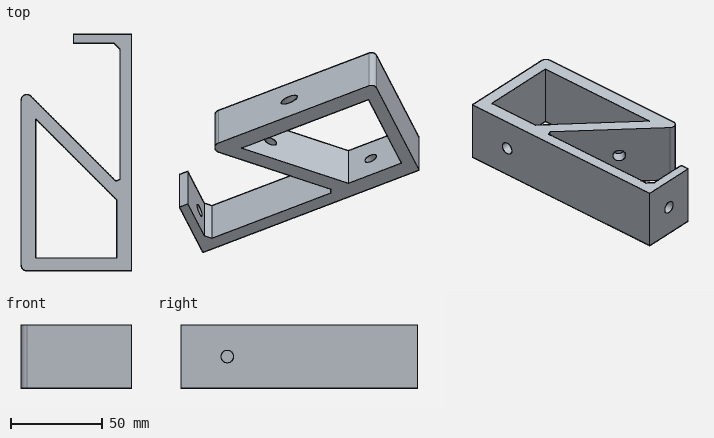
import cadquery as cq
import math

width = 60.45
length = 129.51
height = 34.8

hook_thickness = 5.08
spine_thickness = 6.35
frame_thickness = 8.1
base_thickness = 7.1
brace_thickness = 7.0

hook_length = 31.75
brace_peak_y = 101.05
edge_break = 3.175
hole_diameter = 6.86
wall_hole_y = 25.4
brace_hole_y = 50.93

spine_x = width - spine_thickness
hook_y = length - hook_thickness
valley_y = brace_peak_y - spine_x
hook_hole_x = width - hook_length / 2
mid_height = height / 2
cavity_right_x = width - frame_thickness
brace_inner_peak_y = brace_peak_y - brace_thickness * math.sqrt(2)


def vertical_edge(body, x, y):
    """Select the full-height edge of the body that stands at (x, y)."""
    return body.edges(cq.selectors.NearestToPointSelector((x, y, mid_height)))


def make_body():
    """Extrude the hooked outline and break its corners."""
    body = (
        cq.Workplane("XY")
        .moveTo(0, 0)
        .lineTo(width, 0)
        .lineTo(width, length)
        .lineTo(width - hook_length, length)
        .lineTo(width - hook_length, hook_y)
        .lineTo(spine_x, hook_y)
        .lineTo(spine_x, valley_y)
        .lineTo(0, brace_peak_y)
        .close()
        .extrude(height)
    )
    for x, y in [(spine_x, hook_y), (spine_x, valley_y)]:
        body = vertical_edge(body, x, y).chamfer(edge_break)
    for x, y in [(0, 0), (0, brace_peak_y)]:
        body = vertical_edge(body, x, y).fillet(edge_break)
    return body


def make_cavity():
    """Opening bounded by the base, both side walls and the brace."""
    return (
        cq.Workplane("XY")
        .moveTo(frame_thickness, base_thickness)
        .lineTo(cavity_right_x, base_thickness)
        .lineTo(cavity_right_x, brace_inner_peak_y - cavity_right_x)
        .lineTo(frame_thickness, brace_inner_peak_y - frame_thickness)
        .close()
        .extrude(height)
    )


def make_drill(start_x, start_y, direction, depth):
    """Round cutter at mid height, running from a start point along a direction."""
    start = cq.Vector(start_x, start_y, mid_height)
    return cq.Workplane(cq.Solid.makeCylinder(hole_diameter / 2, depth, start, cq.Vector(*direction)))


def make_hook_hole():
    """Hole through the hook along Y."""
    return make_drill(hook_hole_x, hook_y, (0, 1, 0), hook_thickness)


def make_wall_hole():
    """Hole through the right wall along X, opening into the cavity."""
    return make_drill(cavity_right_x, wall_hole_y, (1, 0, 0), frame_thickness)


def make_brace_hole():
    """Hole square to the brace, passing through the left wall and the brace."""
    reach = (brace_peak_y - brace_hole_y) / math.sqrt(2)
    lead = hole_diameter
    lead_offset = lead / math.sqrt(2)
    return make_drill(-lead_offset, brace_hole_y - lead_offset, (1, 1, 0), reach + 2 * lead)


result = (
    make_body()
    .cut(make_cavity())
    .cut(make_hook_hole())
    .cut(make_wall_hole())
    .cut(make_brace_hole())
)